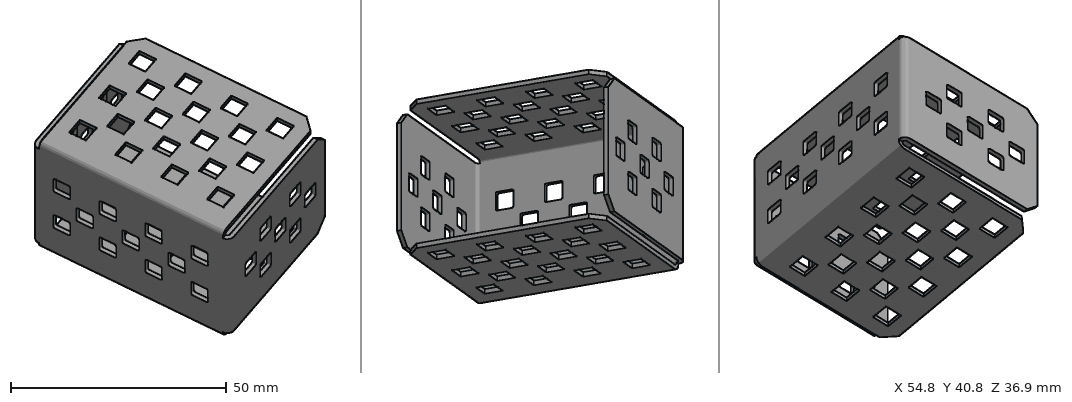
import cadquery as cq
import math

WIDTH = 54.75
DEPTH = 40.8
HEIGHT = 36.9

SHEET = 1.15
WALL_WIDTH = 50.85
BEND_RADIUS = (WIDTH - WALL_WIDTH) / 2
INNER_RADIUS = BEND_RADIUS - SHEET
WALL_HEIGHT = HEIGHT - 2 * BEND_RADIUS
FLANGE_CHAMFER = 3.2

HOLE_PITCH = 12.7
ROW_PITCH = HOLE_PITCH / 2
HOLE_SIZE = 4.6
HOLE_CORNER = 0.5
FIRST_FLANGE_ROW = DEPTH - ROW_PITCH
CUT_MARGIN = 0.55


def bent_flange(span, flange_width):
    """Flange with its bend, on the -X side of a box of the given X span, centred along Z."""
    outer_face = -span / 2
    inner_face = outer_face + SHEET
    bend_centre_x = outer_face + BEND_RADIUS
    outer_mid = BEND_RADIUS * math.sqrt(0.5)
    inner_mid = INNER_RADIUS * math.sqrt(0.5)
    flange = (
        cq.Workplane("XY")
        .moveTo(bend_centre_x, 0)
        .threePointArc((bend_centre_x - outer_mid, BEND_RADIUS - outer_mid), (outer_face, BEND_RADIUS))
        .lineTo(outer_face, DEPTH)
        .lineTo(inner_face, DEPTH)
        .lineTo(inner_face, BEND_RADIUS)
        .threePointArc((bend_centre_x - inner_mid, BEND_RADIUS - inner_mid), (bend_centre_x, SHEET))
        .close()
        .extrude(flange_width / 2, both=True)
    )
    return flange.edges("|X and >Y").chamfer(FLANGE_CHAMFER)


def staggered_points(row_counts, first_row):
    """Hole centres: one row per count, centred across, each row one row pitch below the last."""
    return [
        ((column - (count - 1) / 2) * HOLE_PITCH, first_row - row * ROW_PITCH)
        for row, count in enumerate(row_counts)
        for column in range(count)
    ]


def square_bars(plane, points, reach):
    """Square bars reaching the given distance to both sides of the plane."""
    return cq.Workplane(plane).pushPoints(points).rect(HOLE_SIZE, HOLE_SIZE).extrude(reach, both=True)


wall = cq.Workplane("XY").box(WALL_WIDTH, SHEET, WALL_HEIGHT, centered=(True, False, True))

left_flange = bent_flange(WIDTH, WALL_HEIGHT)
right_flange = left_flange.mirror("YZ")

top_flange = bent_flange(HEIGHT, WALL_WIDTH).rotate((0, 0, 0), (0, 1, 0), 90)
bottom_flange = top_flange.mirror("XY")

shell = wall.union(left_flange).union(right_flange).union(top_flange).union(bottom_flange)

wall_points = staggered_points([4, 3, 4], ROW_PITCH)
wall_holes = square_bars("XZ", wall_points, SHEET + CUT_MARGIN).edges("|Y").fillet(HOLE_CORNER)

side_points = [(y, z) for z, y in staggered_points([1, 2, 1, 2, 1], FIRST_FLANGE_ROW)]
side_holes = square_bars("YZ", side_points, WIDTH / 2 + CUT_MARGIN).edges("|X").fillet(HOLE_CORNER)

top_points = staggered_points([4, 3, 4, 3, 4], FIRST_FLANGE_ROW)
top_holes = square_bars("XY", top_points, HEIGHT / 2 + CUT_MARGIN)

result = shell.cut(wall_holes).cut(side_holes).cut(top_holes)